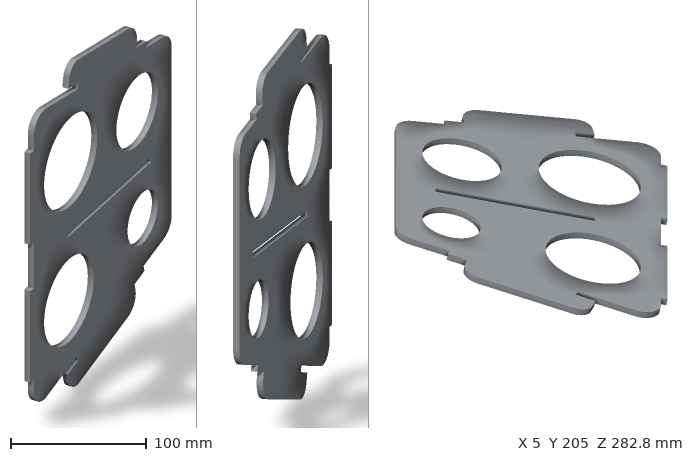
import cadquery as cq
import math

thickness = 5.0
body_width = 200.0
front_corner_height = 130.0
upper_tilt = 10
lower_tilt = 15
body_corner_radius = 15.0

tab_depth = thickness
tab_length = 80.0
tab_start = 20.0

hook_length = 100.0
hook_height = 20.0
hook_shift = 15.0
hook_front_radius = 11.3
hook_back_radius = 15.0
neck_height = thickness
neck_start = 65.0

slot_length = 120.1
slot_width = thickness
slot_margin = 30.0

upper_back_diameter = 60.0
upper_front_diameter = 77.0
lower_back_diameter = 44.0
lower_front_diameter = 72.0
back_margin = 20.0
front_margin = 15.0
slot_clearance = 20.0

front_edge = -body_width / 2
back_edge = body_width / 2


def make_body():
    """Four-sided plate with a sloping upper and lower edge and rounded corners."""
    upper_drop = body_width * math.tan(math.radians(upper_tilt))
    lower_drop = body_width * math.tan(math.radians(lower_tilt))
    corners = [
        (front_edge, front_corner_height),
        (back_edge, front_corner_height - upper_drop),
        (back_edge, lower_drop - front_corner_height),
        (front_edge, -front_corner_height),
    ]
    body = cq.Workplane("YZ").polyline(corners).close().extrude(thickness)
    return body.edges("|X").fillet(body_corner_radius)


def make_hook(tilt):
    """Neck and overhanging hook standing on an upper edge that slopes by tilt degrees."""
    slope = math.radians(tilt)
    edge_plane = cq.Plane(
        origin=(0, front_edge, front_corner_height),
        xDir=(0, math.cos(slope), -math.sin(slope)),
        normal=(1, 0, 0),
    )
    neck = (
        cq.Workplane(edge_plane)
        .center(neck_start, -neck_height)
        .rect(hook_length, 2 * neck_height, centered=False)
        .extrude(thickness)
    )
    hook = (
        cq.Workplane(edge_plane)
        .center(neck_start - hook_shift, neck_height)
        .rect(hook_length, hook_height, centered=False)
        .extrude(thickness)
    )
    outer = cq.selectors.CenterNthSelector(edge_plane.yDir, -1)
    frontmost = cq.selectors.CenterNthSelector(edge_plane.xDir, 0)
    backmost = cq.selectors.CenterNthSelector(edge_plane.xDir, -1)
    hook = hook.edges("|X").edges(outer).edges(frontmost).fillet(hook_front_radius)
    hook = hook.edges("|X").edges(outer).edges(backmost).fillet(hook_back_radius)
    return neck.union(hook)


def make_side_tab(side):
    """Tab on the -Y edge, above (side = 1) or below (side = -1) the slot."""
    centre_z = side * (tab_start + tab_length / 2)
    return (
        cq.Workplane("YZ")
        .center(front_edge, centre_z)
        .rect(2 * tab_depth, tab_length)
        .extrude(thickness)
    )


def make_slot():
    """Narrow rectangular slot on the centre line."""
    return (
        cq.Workplane("YZ")
        .center(back_edge - slot_margin - slot_length / 2, 0)
        .rect(slot_length, slot_width)
        .extrude(thickness)
    )


def make_opening(diameter, centre_y, side):
    """Round opening at a fixed clearance above (1) or below (-1) the slot."""
    centre_z = side * (slot_width / 2 + slot_clearance + diameter / 2)
    return cq.Workplane("YZ").center(centre_y, centre_z).circle(diameter / 2).extrude(thickness)


result = make_body()
result = result.union(make_hook(upper_tilt))
result = result.union(make_hook(lower_tilt).mirror("XY"))
result = result.cut(make_slot())

opening_pairs = [
    (1, upper_back_diameter, upper_front_diameter),
    (-1, lower_back_diameter, lower_front_diameter),
]
for side, back_diameter, front_diameter in opening_pairs:
    back_centre_y = back_edge - back_margin - back_diameter / 2
    front_centre_y = front_edge + front_margin + front_diameter / 2
    result = result.union(make_side_tab(side))
    result = result.cut(make_opening(back_diameter, back_centre_y, side))
    result = result.cut(make_opening(front_diameter, front_centre_y, side))